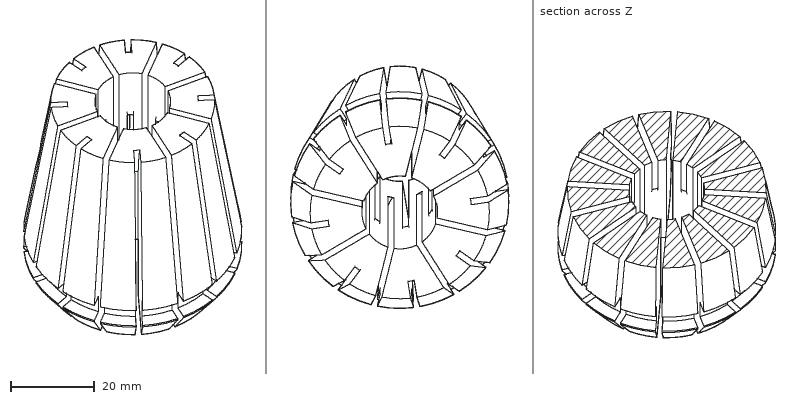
import cadquery as cq
import math

height = 60.0
rim_radius = 26.0
bore_radius = 9.0
clamp_taper = 8.0
nose_taper = 30.0

groove_radius = 23.0
groove_bottom = 8.5
groove_top = 14.0
rim_land = 0.5

slots_per_set = 8
slot_width = 1.5
saw_radius = 40.0
top_runout_radius = 15.6
top_slot_floor = 8.15
base_runout_radius = 17.15
base_slot_floor = 8.65

slot_pitch = 360.0 / slots_per_set
clearance = 3.0


def make_body():
    """Revolve the two cones, the groove and the bore."""
    nose_height = groove_bottom - rim_land
    base_radius = rim_radius - nose_height * math.tan(math.radians(nose_taper))
    top_radius = rim_radius - (height - groove_top) * math.tan(math.radians(clamp_taper))
    return (
        cq.Workplane("XZ")
        .moveTo(bore_radius, 0)
        .lineTo(base_radius, 0)
        .lineTo(rim_radius, nose_height)
        .lineTo(rim_radius, groove_bottom)
        .lineTo(groove_radius, groove_bottom)
        .lineTo(groove_radius, groove_top)
        .lineTo(rim_radius, groove_top)
        .lineTo(top_radius, height)
        .lineTo(bore_radius, height)
        .close()
        .revolve(360, (0, 0, 0), (0, 1, 0))
    )


def make_slot(floor_radius, runout_radius):
    """Radial slot along +X, open at the base, with its curved run-out ending at the top face."""
    saw_center = floor_radius + saw_radius
    runout_angle = math.acos((saw_center - runout_radius) / saw_radius)
    saw_center_height = height - saw_radius * math.sin(runout_angle)
    middle_angle = runout_angle / 2
    arc_middle = (
        saw_center - saw_radius * math.cos(middle_angle),
        saw_center_height + saw_radius * math.sin(middle_angle),
    )
    outside = rim_radius + clearance
    return (
        cq.Workplane("XZ")
        .moveTo(floor_radius, -clearance)
        .lineTo(floor_radius, saw_center_height)
        .threePointArc(arc_middle, (runout_radius, height))
        .lineTo(runout_radius, height + clearance)
        .lineTo(outside, height + clearance)
        .lineTo(outside, -clearance)
        .close()
        .extrude(slot_width / 2, both=True)
    )


top_blind_slot = make_slot(top_slot_floor, top_runout_radius)
base_blind_slot = (
    make_slot(base_slot_floor, base_runout_radius)
    .mirror("XY", (0, 0, height / 2))
    .rotate((0, 0, 0), (0, 0, 1), slot_pitch / 2)
)

result = make_body()
for index in range(slots_per_set):
    for slot in (top_blind_slot, base_blind_slot):
        result = result.cut(slot.rotate((0, 0, 0), (0, 0, 1), index * slot_pitch))